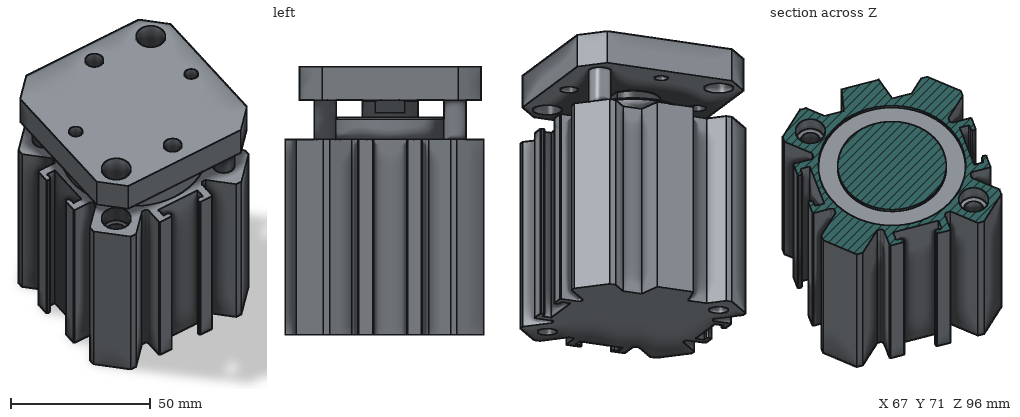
import cadquery as cq
import math

TOTAL_HEIGHT = 96.0
HOUSING_HEIGHT = 70.0
PLATE_THICKNESS = 12.0
PLATE_BOTTOM = TOTAL_HEIGHT - PLATE_THICKNESS

HOUSING_HALF = 33.5
LUG_CORNER = 23.9
LUG_EDGE = 21.6
LUG_WALL_DEPTH = 7.9
GROOVE_FLOOR = HOUSING_HALF - LUG_WALL_DEPTH
GROOVE_FILLET = 1.1
RIB_OUTER = 11.5
RIB_TIP = 5.9
RIB_CHAMFER = 0.4
LIP_THICKNESS = 1.9
LIP_BEVEL = 0.7
SLOT_HALF = 8.4
SLOT_FLOOR = 28.2
RIBBED_SIDES = (1, 2, 3)

RAIL_TOP_Y = 37.5
RAIL_TOP_HALF = 7.0
RAIL_BASE_HALF = 9.1

RECESS_DIAMETER = 52.5
RECESS_DEPTH = 2.0
COLLAR_DIAMETER = 39.0
COLLAR_TOP = 78.0
COLLAR_CHAMFER = 0.8

CORNER_OFFSET = 23.2
MOUNTING_DIAMETER = 7.0
COUNTERBORE_DIAMETER = 10.5
COUNTERBORE_DEPTH = 6.7
PIN_DIAMETER = 8.0

PLATE_WIDTH = 65.0
PLATE_CHAMFER = 8.2
PLATE_HOLE_OFFSET = 25.0
PLATE_HOLE_X_DIAMETER = 6.5
PLATE_HOLE_Y_DIAMETER = 4.9
ROD_DIAMETER = 20.0
ROD_CHAMFER = 0.4
FLAT_WIDTH = 17.0
FLAT_BOTTOM = 79.5

MOUNTING_POINTS = [(-CORNER_OFFSET, CORNER_OFFSET), (CORNER_OFFSET, -CORNER_OFFSET)]
PIN_POINTS = [(-CORNER_OFFSET, -CORNER_OFFSET), (CORNER_OFFSET, CORNER_OFFSET)]


def lug_points():
    """The outer edge of a lug from its cut corner to its slanted wall, as (along, outward)."""
    return [
        (LUG_CORNER, HOUSING_HALF),
        (LUG_EDGE, HOUSING_HALF),
    ]


def rib_points():
    """The groove floor and hooked rib next to a lug, down to the T-slot floor."""
    lip_inside = HOUSING_HALF - LIP_THICKNESS
    return [
        (LUG_EDGE - LUG_WALL_DEPTH, GROOVE_FLOOR),
        (RIB_OUTER, GROOVE_FLOOR),
        (RIB_OUTER, HOUSING_HALF - RIB_CHAMFER),
        (RIB_OUTER - RIB_CHAMFER, HOUSING_HALF),
        (RIB_TIP + RIB_CHAMFER, HOUSING_HALF),
        (RIB_TIP, HOUSING_HALF - RIB_CHAMFER),
        (RIB_TIP, lip_inside + LIP_BEVEL),
        (RIB_TIP + LIP_BEVEL, lip_inside),
        (SLOT_HALF, lip_inside),
        (SLOT_HALF, SLOT_FLOOR),
    ]


def rail_points():
    """The +Y side next to a lug: flat floor and half of the tapered rail."""
    wall_depth = HOUSING_HALF - SLOT_FLOOR
    return [
        (LUG_EDGE - wall_depth, SLOT_FLOOR),
        (RAIL_BASE_HALF, SLOT_FLOOR),
        (RAIL_TOP_HALF, RAIL_TOP_Y),
    ]


def place_on_side(points, quarter_turns):
    """Points as (along, outward) of a side that is turned counterclockwise from +Y."""
    angle = quarter_turns * math.pi / 2
    cos, sin = math.cos(angle), math.sin(angle)
    return [(x * cos - y * sin, x * sin + y * cos) for x, y in points]


def side_outline(inner_points, quarter_turns):
    """One full side, mirrored about its middle."""
    half = lug_points() + inner_points
    mirrored = [(-along, out) for along, out in reversed(half)]
    return place_on_side(half + mirrored, quarter_turns)


def make_profile():
    """The full-height housing section, with a fillet at the foot of each rib's outer wall."""
    outline = side_outline(rail_points(), 0)
    for quarter_turns in RIBBED_SIDES:
        outline += side_outline(rib_points(), quarter_turns)
    profile = cq.Workplane("XY").polyline(outline).close().extrude(HOUSING_HEIGHT)

    rib_feet = [(-RIB_OUTER, GROOVE_FLOOR), (RIB_OUTER, GROOVE_FLOOR)]
    for quarter_turns in RIBBED_SIDES:
        for x, y in place_on_side(rib_feet, quarter_turns):
            foot_edge = cq.selectors.NearestToPointSelector((x, y, HOUSING_HEIGHT / 2))
            profile = profile.edges("|Z").edges(foot_edge).fillet(GROOVE_FILLET)
    return profile


def make_housing():
    recess_floor = HOUSING_HEIGHT - RECESS_DEPTH
    recess = (
        cq.Workplane("XY").workplane(offset=recess_floor)
        .circle(RECESS_DIAMETER / 2).extrude(RECESS_DEPTH)
    )
    collar = (
        cq.Workplane("XY").workplane(offset=recess_floor)
        .circle(COLLAR_DIAMETER / 2)
        .extrude(COLLAR_TOP - recess_floor)
        .faces(">Z").edges().chamfer(COLLAR_CHAMFER)
    )
    housing = make_profile().cut(recess).union(collar)

    return (
        housing.cut(
            cq.Workplane("XY").pushPoints(MOUNTING_POINTS)
            .circle(MOUNTING_DIAMETER / 2).extrude(HOUSING_HEIGHT)
        )
        .cut(
            cq.Workplane("XY").workplane(offset=HOUSING_HEIGHT - COUNTERBORE_DEPTH)
            .pushPoints(MOUNTING_POINTS)
            .circle(COUNTERBORE_DIAMETER / 2).extrude(COUNTERBORE_DEPTH)
        )
    )


def make_rod():
    """Round rod on the collar, with two wrench flats facing -X and +X."""
    rod = (
        cq.Workplane("XY").workplane(offset=COLLAR_TOP)
        .circle(ROD_DIAMETER / 2)
        .extrude(PLATE_BOTTOM - COLLAR_TOP)
        .faces(">Z").edges().chamfer(ROD_CHAMFER)
    )
    flat_height = PLATE_BOTTOM - FLAT_BOTTOM
    around_flats = (
        cq.Workplane("XY").workplane(offset=FLAT_BOTTOM)
        .rect(2 * ROD_DIAMETER, 2 * ROD_DIAMETER)
        .rect(FLAT_WIDTH, 2 * ROD_DIAMETER)
        .extrude(flat_height)
    )
    return rod.cut(around_flats)


def make_plunger():
    plate = (
        cq.Workplane("XY").workplane(offset=PLATE_BOTTOM)
        .rect(PLATE_WIDTH, PLATE_WIDTH).extrude(PLATE_THICKNESS)
        .edges("|Z").chamfer(PLATE_CHAMFER)
    )
    hole_groups = [
        (MOUNTING_POINTS, COUNTERBORE_DIAMETER),
        ([(-PLATE_HOLE_OFFSET, 0), (PLATE_HOLE_OFFSET, 0)], PLATE_HOLE_X_DIAMETER),
        ([(0, -PLATE_HOLE_OFFSET), (0, PLATE_HOLE_OFFSET)], PLATE_HOLE_Y_DIAMETER),
    ]
    for points, diameter in hole_groups:
        plate = plate.faces(">Z").workplane(origin=(0, 0, TOTAL_HEIGHT)).pushPoints(points).hole(diameter)

    pins = (
        cq.Workplane("XY").workplane(offset=HOUSING_HEIGHT).pushPoints(PIN_POINTS)
        .circle(PIN_DIAMETER / 2).extrude(PLATE_BOTTOM - HOUSING_HEIGHT)
    )
    return plate.union(pins).union(make_rod())


housing = make_housing()
plunger = make_plunger()

result = cq.Compound.makeCompound([*housing.solids().vals(), *plunger.solids().vals()])